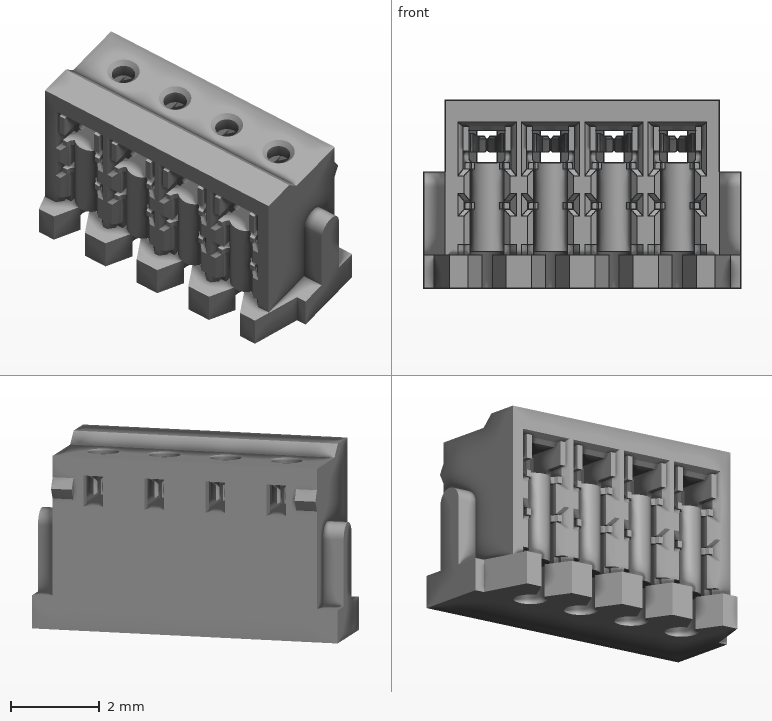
import cadquery as cq
import math


length = 7.16
body_length = 6.19
body_depth = 2.57
rear_height = 3.98
front_height = 4.25
ridge_depth = 0.8
ridge_foot = 1.09
base_height = 0.76
flange_front = 0.76

contact_count = 4
pitch = 1.43
contact_xs = [(i - (contact_count - 1) / 2) * pitch for i in range(contact_count)]

tooth_reach = 0.39
tooth_gap_mouth = 0.43
tooth_gap_at_body = 0.23
corner_start = 3.345
corner_end = 2.99
gap_taper = (tooth_gap_mouth - tooth_gap_at_body) / tooth_reach
gap_end = 0.32

rib_width = 0.67
rib_height = 2.635
bump_length = 0.49
bump_reach = 0.135
bump_half_height = 0.24
bump_z = 3.25

pin_y = 1.72
pin_diameter = 0.53
entry_diameter = 0.73

barrel_diameter = 0.765
barrel_radius = barrel_diameter / 2
barrel_y = 0.48
barrel_bottom = 0.84
channel_y = 0.58

floor_top = 2.84
sheet = 0.15
floor_bottom = floor_top - sheet
lower_blade_bottom = 1.79
blade_back = 0.79
prong_front = 0.065
prong_tip_inner = 0.39
prong_tip_outer = 0.5
prong_inner = 0.35
lead_in_front = 0.15
lead_in = 0.135
shoulder_half = 0.47
shoulder_y = 0.285
neck_half = 0.3
neck_y = shoulder_y + shoulder_half - neck_half
side_inner = 0.41
side_outer = 0.545
side_front = 0.55
arm_front = 0.0
arm_bottom = 3.1
arm_radius = 0.13
bend_radius = 0.1
spring_bottom = 3.08
spring_top = 3.5
spring_root_front = 1.0
spring_root_back = 1.29
spring_knee = (0.37, 1.09)
spring_bend = (0.315, 1.145)
spring_bow = (0.235, 1.475)
tip_root = (0.18, 1.95)
tip_end_y = 2.16
tip_back = (0.085, 2.22)
tip_root_back = (0.27, 1.975)
tip_top = 3.44
tip_slope_end = 0.215
tip_half_gap = 0.015
tip_chamfer = 0.065
tip_corner = 0.035

bevel_depth = 0.14
mouth_half = 0.66
slit_mouth_half = 0.52
upper_mouth_bottom = 2.54
upper_mouth_top = 3.76
chamber_front_top = 3.66
chamber_top = 3.565
chamber_back = 2.29
lower_mouth_bottom = 1.63
lower_mouth_top = 2.14
pocket_bottom = 1.78
pocket_top = 1.975
notch_top = 0.99
notch_back = 0.22
rear_window_half = 0.23


def mirrored(half):
    """Close a half outline by mirroring its points across the YZ plane."""
    return half + [(-x, y) for x, y in reversed(half)]


def prism_z(points, bottom, top):
    return cq.Workplane("XY").workplane(offset=bottom).polyline(points).close().extrude(top - bottom)


def prism_x(points, start, end):
    return cq.Workplane("YZ").workplane(offset=start).polyline(points).close().extrude(end - start)


def block(half_width, front, back, bottom, top):
    outline = [(-half_width, front), (half_width, front), (half_width, back), (-half_width, back)]
    return prism_z(outline, bottom, top)


def cylinder(diameter, y, bottom, top):
    return cq.Workplane("XY", origin=(0, y, bottom)).circle(diameter / 2).extrude(top - bottom)


def body():
    profile = [
        (0, 0), (0, front_height), (ridge_depth, front_height), (ridge_foot, rear_height),
        (body_depth, rear_height), (body_depth, 0),
    ]
    return prism_x(profile, -body_length / 2, body_length / 2)


def base():
    outline = mirrored([
        (length / 2, body_depth), (length / 2, flange_front), (corner_start, flange_front),
        (corner_end, -tooth_reach),
    ])
    return prism_z(outline, 0, base_height)


def end_ribs():
    shoulder = rib_height - rib_width / 2
    return (
        cq.Workplane("YZ").workplane(offset=-length / 2)
        .moveTo(pin_y - rib_width / 2, 0)
        .lineTo(pin_y - rib_width / 2, shoulder)
        .threePointArc((pin_y, rib_height), (pin_y + rib_width / 2, shoulder))
        .lineTo(pin_y + rib_width / 2, 0)
        .close().extrude(length)
    )


def back_bump(start):
    profile = [
        (body_depth, bump_z - bump_half_height), (body_depth + bump_reach, bump_z),
        (body_depth, bump_z + bump_half_height),
    ]
    return prism_x(profile, start, start + bump_length)


def flared_mouth(half_in, bottom_in, top_in, bottom_out, top_out):
    """Opening that narrows from the front face to the given inner rectangle."""
    return (
        cq.Workplane("XZ", origin=(0, 0, (bottom_out + top_out) / 2))
        .rect(2 * mouth_half, top_out - bottom_out)
        .workplane(offset=-bevel_depth)
        .center(0, (bottom_in + top_in - bottom_out - top_out) / 2)
        .rect(2 * half_in, top_in - bottom_in)
        .loft(ruled=True)
    )


def tooth_gap():
    """Tapered gap between two teeth that runs in to the wire bore."""
    outline = mirrored([
        (tooth_gap_mouth, -tooth_reach), (tooth_gap_at_body - gap_taper * gap_end, gap_end),
    ])
    return prism_z(outline, 0, base_height)


def wire_channel():
    bore = cylinder(barrel_diameter, channel_y, 0, floor_bottom)
    slit = mirrored([
        (slit_mouth_half, 0), (barrel_radius, bevel_depth), (barrel_radius, channel_y),
    ])
    notch = mirrored([(mouth_half, 0), (slit_mouth_half, bevel_depth), (slit_mouth_half, notch_back)])
    return (
        bore
        .union(prism_z(slit, base_height, floor_bottom))
        .union(prism_z(notch, base_height, notch_top))
    )


def chamber():
    profile = [
        (bevel_depth, floor_bottom), (bevel_depth, chamber_front_top),
        (bevel_depth + chamber_front_top - chamber_top, chamber_top),
        (chamber_back, chamber_top), (chamber_back, floor_bottom),
    ]
    return (
        prism_x(profile, -side_outer, side_outer)
        .union(flared_mouth(side_outer, floor_bottom, chamber_front_top, upper_mouth_bottom, upper_mouth_top))
        .union(block(rear_window_half, chamber_back, body_depth, floor_top, chamber_top))
    )


def blade_pocket():
    return block(slit_mouth_half, bevel_depth, blade_back, pocket_bottom, pocket_top).union(
        flared_mouth(slit_mouth_half, pocket_bottom, pocket_top, lower_mouth_bottom, lower_mouth_top)
    )


def pin_entry():
    funnel_depth = (entry_diameter - pin_diameter) / 2
    funnel = (
        cq.Workplane("XY", origin=(0, pin_y, rear_height)).circle(entry_diameter / 2)
        .workplane(offset=-funnel_depth).circle(pin_diameter / 2).loft()
    )
    return cylinder(pin_diameter, pin_y, chamber_top, rear_height).union(funnel)


def make_housing():
    shell = body().union(base()).union(end_ribs())
    shell = shell.union(back_bump(-body_length / 2)).union(back_bump(body_length / 2 - bump_length))
    for x in contact_xs:
        for opening in (tooth_gap(), wire_channel(), chamber(), blade_pocket(), pin_entry()):
            shell = shell.cut(opening.translate((x, 0, 0)))
    return shell


def blade(bottom):
    """Horizontal blade whose two prongs lead in to the wire barrel."""
    outline = mirrored([
        (prong_inner - lead_in, lead_in_front + lead_in), (prong_inner, lead_in_front),
        (prong_tip_inner, prong_front), (prong_tip_outer, prong_front),
        (shoulder_half, shoulder_y), (neck_half, neck_y), (neck_half, blade_back),
    ])
    return prism_z(outline, bottom, bottom + sheet)


def side_plate():
    """Upright plate on the +X side with an arm reaching to the front."""
    roof_foot = bevel_depth + chamber_front_top - chamber_top
    arc_offset = arm_radius * math.sqrt(0.5)
    arc_middle = (
        side_front - arm_radius + arc_offset,
        arm_bottom - arm_radius + arc_offset,
    )
    return (
        cq.Workplane("YZ").workplane(offset=side_inner)
        .moveTo(arm_front, arm_bottom).lineTo(arm_front, chamber_front_top)
        .lineTo(bevel_depth, chamber_front_top).lineTo(roof_foot, chamber_top)
        .lineTo(chamber_back, chamber_top).lineTo(chamber_back, floor_bottom)
        .lineTo(side_front, floor_bottom).lineTo(side_front, arm_bottom - arm_radius)
        .threePointArc(arc_middle, (side_front - arm_radius, arm_bottom))
        .close().extrude(side_outer - side_inner)
    )


def bend_fillet():
    """Inside radius where the floor bends up into the +X side plate."""
    arc_offset = bend_radius * (1 - math.sqrt(0.5))
    arc_middle = (side_inner - arc_offset, floor_top + arc_offset)
    return (
        cq.Workplane("XZ", origin=(0, side_front, 0))
        .moveTo(side_inner, floor_top)
        .lineTo(side_inner - bend_radius, floor_top)
        .threePointArc(arc_middle, (side_inner, floor_top + bend_radius))
        .close().extrude(side_front - chamber_back)
    )


def spring():
    """Spring arm on the +X side that bends in toward the pin and ends in a slanted tip."""
    sheet_outline = (
        cq.Workplane("XY").workplane(offset=spring_bottom)
        .moveTo(side_inner, spring_root_front)
        .lineTo(*spring_knee).lineTo(*spring_bend)
        .threePointArc(spring_bow, tip_root)
        .lineTo(tip_half_gap, tip_end_y).lineTo(*tip_back).lineTo(*tip_root_back)
        .lineTo(side_inner, spring_root_back)
        .close().extrude(spring_top - spring_bottom)
    )
    front_outline = [
        (side_inner, spring_bottom), (side_inner, spring_top), (spring_bend[0], spring_top),
        (tip_slope_end, tip_top),
        (tip_half_gap, tip_top), (tip_half_gap, spring_bottom + tip_corner),
        (tip_half_gap + tip_corner, spring_bottom),
    ]
    trim = cq.Workplane("XZ").polyline(front_outline).close().extrude(-chamber_back)
    edge_middle = ((tip_root[0] + tip_half_gap) / 2, (tip_root[1] + tip_end_y) / 2, tip_top)
    lead_in_edge = cq.selectors.NearestToPointSelector(edge_middle)
    return sheet_outline.intersect(trim).edges(lead_in_edge).chamfer(tip_chamfer)


def make_contact():
    floor = block(side_inner, side_front, chamber_back, floor_bottom, floor_top)
    contact = floor.union(bend_fillet()).union(bend_fillet().mirror("YZ"))
    contact = contact.union(side_plate()).union(side_plate().mirror("YZ"))
    contact = contact.union(spring()).union(spring().mirror("YZ"))
    contact = contact.union(blade(floor_bottom)).union(blade(lower_blade_bottom))
    return contact.union(cylinder(barrel_diameter, barrel_y, barrel_bottom, floor_top))


housing = make_housing()
contacts = [make_contact().translate((x, 0, 0)) for x in contact_xs]
bodies = [housing, *contacts]
result = cq.Compound.makeCompound([one_body.solids().val() for one_body in bodies])